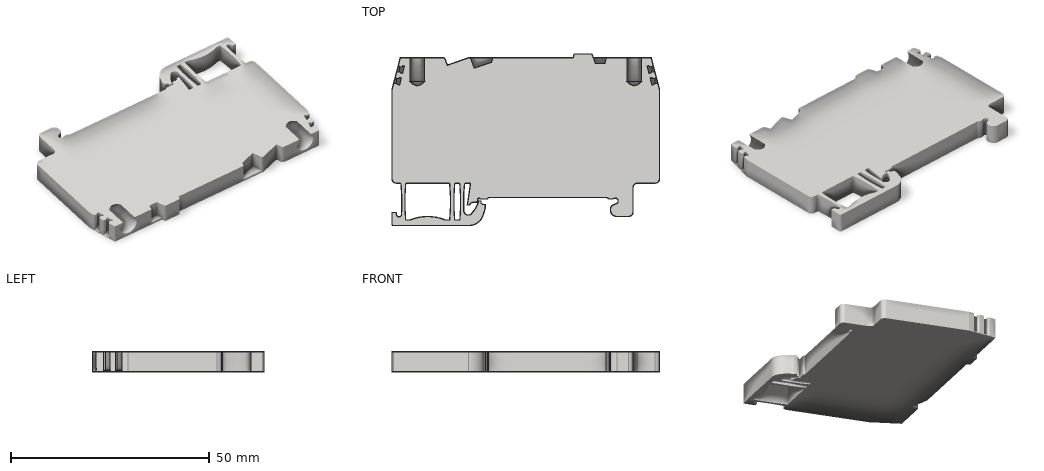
import cadquery as cq
import math

LENGTH = 67.5
HEIGHT = 43.3
THICKNESS = 5.1
MID_X = LENGTH / 2

BODY_BOTTOM_Y = 10.7
BODY_TOP_Y = 42.35
SHOULDER_Y = 34.3
SHOULDER_INSET = 2.1
BODY_CORNER_RADIUS = 1.15
RAIL_SEAT_Y = 7.1
SEAT_RIDGE_Y = 6.7

FOOT_FLOOR_Y = 1.45
FOOT_CORNER_RADIUS = 0.4
LEG_BOW = 0.2
LEG_ROOT_CHAMFER = 0.2
LEG_TOP_Y = BODY_BOTTOM_Y - LEG_ROOT_CHAMFER
LEG_1_LEFT_X = 2.27
LEG_1_RIGHT_X = 3.5
LEG_2_LEFT_X = 14.55
LEG_2_RIGHT_X = 15.85
LEG_3_LEFT_X = 17.1
LEG_3_RIGHT_X = 18.35
HUMP_HALF_WIDTH = 4.5
HUMP_RISE = 0.9
HOOK_TIP_X = 23.6

FIXED_FOOT_RIGHT_X = 60.8
FIXED_FOOT_BOTTOM_Y = 2.3
FIXED_FOOT_CORNER_RADIUS = 1.1

TAB_LEFT_X = 45.9
TAB_RIGHT_X = 50.5
TAB_CORNER = 0.2
RECESS_FLOOR_Z = 0.6

BORE_X = 6.4
BORE_RADIUS = 2.5
BORE_OPENING_WIDTH = 3.55
BORE_END_Y = 36.3
BORE_TIP_HALF_ANGLE = 36

SLOT_MOUTHS_Y = (40.45, 37.5)
SLOT_OUTER_FLOOR_Z = 0.15
SLOT_INNER_FLOOR_Z = 0.5
SLOT_NECK_LENGTH = 0.35
SLOT_LIP_DROP = 0.4
SLOT_NECK_DROP = 1.65
SLOT_MOUTH_REACH = 0.8


def prism(points, bottom, top):
    return cq.Workplane("XY").workplane(offset=bottom).polyline(points).close().extrude(top - bottom)


def mirrored(shape):
    return shape.mirror("YZ", (MID_X, 0, 0))


def shoulder_x(y):
    """X of the sloping left shoulder at height y."""
    return SHOULDER_INSET * (y - SHOULDER_Y) / (BODY_TOP_Y - SHOULDER_Y)


def plate():
    """Full-thickness profile, traced counter-clockwise from the foot's outer corner."""
    profile = (
        cq.Workplane("XY")
        .moveTo(FOOT_CORNER_RADIUS, 0)
        .lineTo(19.3, 0)
        .threePointArc((21.5, 0.65), (23.0, 2.6))
        .lineTo(HOOK_TIP_X, 4.4)
        .lineTo(HOOK_TIP_X, 5.4)
        .lineTo(22.85, 5.4)
        .lineTo(22.5, 5.7)
        .lineTo(22.5, 6.25)
        .lineTo(21.85, 6.25)
        .threePointArc((21.3, 4.8), (20.25, 3.3))
        .threePointArc((19.25, 2.7), (LEG_3_RIGHT_X - LEG_BOW, 3.7))
        .lineTo(LEG_3_RIGHT_X - LEG_BOW, 8.2)
        .lineTo(LEG_3_RIGHT_X, LEG_TOP_Y)
        .lineTo(LEG_3_RIGHT_X + LEG_ROOT_CHAMFER, BODY_BOTTOM_Y)
        .lineTo(19.8, BODY_BOTTOM_Y)
        .lineTo(19.0, 5.2)
        .lineTo(19.6, 5.2)
        .threePointArc((20.0, 5.7), (20.7, 5.85))
        .lineTo(21.4, 5.85)
        .lineTo(21.7, 6.3)
        .lineTo(21.7, SEAT_RIDGE_Y)
        .threePointArc((21.95, 6.9), (22.2, SEAT_RIDGE_Y))
        .lineTo(24.1, SEAT_RIDGE_Y)
        .lineTo(24.3, RAIL_SEAT_Y)
        .lineTo(54.0, RAIL_SEAT_Y)
        .lineTo(54.9, SEAT_RIDGE_Y)
        .lineTo(55.6, SEAT_RIDGE_Y)
        .lineTo(56.3, 6.95)
        .threePointArc((57.0, 6.35), (56.6, 5.6))
        .lineTo(55.7, 5.2)
        .threePointArc((55.2, 4.7), (55.1, 4.1))
        .threePointArc((55.55, 2.8), (56.8, FIXED_FOOT_BOTTOM_Y))
        .lineTo(FIXED_FOOT_RIGHT_X - FIXED_FOOT_CORNER_RADIUS, FIXED_FOOT_BOTTOM_Y)
        .radiusArc(
            (FIXED_FOOT_RIGHT_X, FIXED_FOOT_BOTTOM_Y + FIXED_FOOT_CORNER_RADIUS),
            -FIXED_FOOT_CORNER_RADIUS,
        )
        .lineTo(FIXED_FOOT_RIGHT_X, BODY_BOTTOM_Y - BODY_CORNER_RADIUS)
        .radiusArc((FIXED_FOOT_RIGHT_X + BODY_CORNER_RADIUS, BODY_BOTTOM_Y), BODY_CORNER_RADIUS)
        .lineTo(LENGTH - BODY_CORNER_RADIUS, BODY_BOTTOM_Y)
        .radiusArc((LENGTH, BODY_BOTTOM_Y + BODY_CORNER_RADIUS), -BODY_CORNER_RADIUS)
        .lineTo(LENGTH, SHOULDER_Y)
        .lineTo(LENGTH - SHOULDER_INSET, BODY_TOP_Y)
        .lineTo(50.85, BODY_TOP_Y)
        .lineTo(TAB_RIGHT_X, HEIGHT - TAB_CORNER)
        .radiusArc((TAB_RIGHT_X - TAB_CORNER, HEIGHT), -TAB_CORNER)
        .lineTo(TAB_LEFT_X + TAB_CORNER, HEIGHT)
        .radiusArc((TAB_LEFT_X, HEIGHT - TAB_CORNER), -TAB_CORNER)
        .lineTo(45.7, BODY_TOP_Y)
        .lineTo(19.3, BODY_TOP_Y)
        .lineTo(14.0, 40.5)
        .lineTo(13.4, 42.1)
        .lineTo(13.1, BODY_TOP_Y)
        .lineTo(SHOULDER_INSET, BODY_TOP_Y)
        .lineTo(0, SHOULDER_Y)
        .lineTo(0, BODY_BOTTOM_Y + BODY_CORNER_RADIUS)
        .radiusArc((BODY_CORNER_RADIUS, BODY_BOTTOM_Y), -BODY_CORNER_RADIUS)
        .lineTo(LEG_1_LEFT_X - LEG_ROOT_CHAMFER, BODY_BOTTOM_Y)
        .lineTo(LEG_1_LEFT_X, LEG_TOP_Y)
        .threePointArc((LEG_1_LEFT_X + LEG_BOW, 6.0), (2.4, 2.6))
        .threePointArc((1.9, 2.25), (1.25, 2.6))
        .lineTo(1.05, 3.35)
        .lineTo(0, 3.35)
        .lineTo(0, FOOT_CORNER_RADIUS)
        .radiusArc((FOOT_CORNER_RADIUS, 0), -FOOT_CORNER_RADIUS)
        .close()
    )
    return profile.extrude(THICKNESS)


def bowed_opening(left, right):
    """Opening between two legs; its sides bow outward by LEG_BOW at mid height."""
    middle_y = (FOOT_FLOOR_Y + LEG_TOP_Y) / 2
    return (
        cq.Workplane("XY")
        .moveTo(left, FOOT_FLOOR_Y)
        .lineTo(right, FOOT_FLOOR_Y)
        .threePointArc((right + LEG_BOW, middle_y), (right, LEG_TOP_Y))
        .lineTo(right - LEG_ROOT_CHAMFER, BODY_BOTTOM_Y)
        .lineTo(left + LEG_ROOT_CHAMFER, BODY_BOTTOM_Y)
        .lineTo(left, LEG_TOP_Y)
        .threePointArc((left - LEG_BOW, middle_y), (left, FOOT_FLOOR_Y))
        .close()
        .extrude(THICKNESS)
    )


def window_hump():
    """Arched thickening of the foot below the wide opening."""
    centre_x = (LEG_1_RIGHT_X + LEG_2_LEFT_X) / 2
    return (
        cq.Workplane("XY")
        .moveTo(centre_x - HUMP_HALF_WIDTH, FOOT_FLOOR_Y)
        .threePointArc((centre_x, FOOT_FLOOR_Y + HUMP_RISE), (centre_x + HUMP_HALF_WIDTH, FOOT_FLOOR_Y))
        .close()
        .extrude(THICKNESS)
    )


def bore():
    """Round bore with a conical end, its axis set below the upper face."""
    axis_depth = math.sqrt(BORE_RADIUS**2 - (BORE_OPENING_WIDTH / 2) ** 2)
    tip_y = BORE_END_Y - BORE_RADIUS / math.tan(math.radians(BORE_TIP_HALF_ANGLE))
    half_section = [(0, tip_y), (BORE_RADIUS, BORE_END_Y), (BORE_RADIUS, HEIGHT), (0, HEIGHT)]
    revolved = cq.Workplane("XY").polyline(half_section).close().revolve(360, (0, 0, 0), (0, 1, 0))
    return revolved.translate((BORE_X, 0, THICKNESS - axis_depth))


def edge_recesses():
    """Two blind recesses open to the marking edge and the upper face."""
    slanted = [(19.8, BODY_TOP_Y), (20.75, 39.7), (25.1, 41.2), (25.5, BODY_TOP_Y)]
    straight = [(50.85, BODY_TOP_Y), (51.3, 40.9), (53.7, 40.9), (54.1, BODY_TOP_Y)]
    cutter = prism(slanted, RECESS_FLOOR_Z, THICKNESS)
    return cutter.union(prism(straight, RECESS_FLOOR_Z, THICKNESS))


def label_slot(mouth_y):
    """Undercut label slot: a neck with a sloping floor leads into a wider flat-floored pocket."""
    mouth_x = shoulder_x(mouth_y)
    neck_x = mouth_x + SLOT_NECK_LENGTH
    neck_low_y = mouth_y - SLOT_NECK_DROP
    pocket = [
        (neck_x, mouth_y - SLOT_LIP_DROP),
        (mouth_x + 0.75, mouth_y - 0.45),
        (mouth_x + 1.15, mouth_y - 0.1),
        (mouth_x + 1.55, mouth_y - 0.25),
        (mouth_x + 1.15, mouth_y - 1.9),
        (mouth_x + 0.95, mouth_y - 2.05),
        (mouth_x + 0.6, mouth_y - 1.9),
        (neck_x, neck_low_y),
    ]
    neck = [
        (mouth_x, mouth_y),
        (neck_x, mouth_y - SLOT_LIP_DROP),
        (neck_x, neck_low_y),
        (mouth_x - SLOT_MOUTH_REACH, neck_low_y),
    ]
    outer_x = shoulder_x(neck_low_y)
    ramp_section = [
        (outer_x, SLOT_OUTER_FLOOR_Z),
        (neck_x, SLOT_INNER_FLOOR_Z),
        (neck_x, THICKNESS),
        (mouth_x - SLOT_MOUTH_REACH, THICKNESS),
        (mouth_x - SLOT_MOUTH_REACH, SLOT_OUTER_FLOOR_Z),
    ]
    above_ramp = cq.Workplane("XZ").polyline(ramp_section).close().extrude(-HEIGHT)
    return prism(neck, 0, THICKNESS).intersect(above_ramp).union(prism(pocket, SLOT_INNER_FLOOR_Z, THICKNESS))


result = plate()
result = result.cut(bowed_opening(LEG_1_RIGHT_X, LEG_2_LEFT_X))
result = result.union(window_hump())
result = result.cut(bowed_opening(LEG_2_RIGHT_X, LEG_3_LEFT_X))
result = result.cut(edge_recesses())
end_cutters = [bore()] + [label_slot(mouth_y) for mouth_y in SLOT_MOUTHS_Y]
for cutter in end_cutters:
    result = result.cut(cutter).cut(mirrored(cutter))